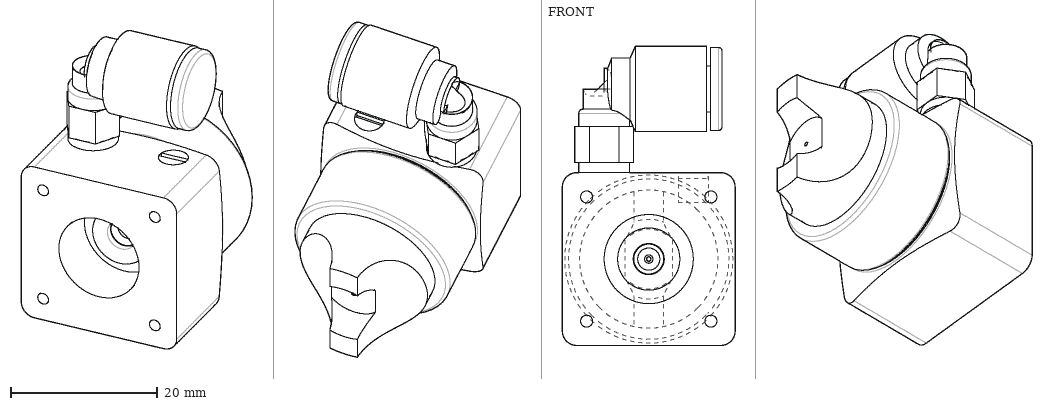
import cadquery as cq
import math


OVERALL_HEIGHT = 41.0

BLOCK_SIZE = 23.7
BLOCK_DEPTH = 14.45
BLOCK_CORNER_RADIUS = 2.0
BLOCK_TOP = BLOCK_SIZE / 2
TURNED_RIM_RADIUS = 11.5
TURNED_SLOPE = 0.28

MOUNT_SPACING = 17.0
MOUNT_DIAMETER = 1.65
MOUNT_DEPTH = 4.1
DRILL_POINT_ANGLE = 118.0

BORE_DIAMETER = 12.2
BORE_DEPTH = 8.0
SEAT_OUTER_RADIUS = 4.25
SEAT_INNER_RADIUS = 2.15
SEAT_ROUND_CENTER = 7.0
SEAT_CONE_RADIUS = 2.05
SEAT_FLOOR_RADIUS = 1.5
SEAT_FLOOR_DEPTH = 9.0
JET_MOUTH_RADIUS = 0.57
JET_MOUTH_DEPTH = 0.4
JET_RADIUS = 0.3

NECK_RADIUS = 11.0
RING_START = 14.7
RING_END = 24.7
RING_RADIUS = 11.52
RING_FILLET = 0.5

NOZZLE_RADIUS = 9.47
NOZZLE_END = 34.5
SCOOP_RADIUS = 8.0
SCOOP_CENTER_X = 10.0
SCOOP_CENTER_Y = 35.3
MOUTH_RADIUS = 5.45
MOUTH_FLOOR_RADIUS = 4.1
MOUTH_DEPTH = 3.5

PORT_OFFSET = 6.1
PORT_Y = 10.75

PLUG_RADIUS = 2.05
PLUG_LENGTH = 4.1
PLUG_SLOT_WIDTH = 0.8
PLUG_SLOT_DEPTH = 0.8

STEM_RADIUS = 3.5
HEX_ACROSS_FLATS = 2 * STEM_RADIUS
HEX_BOTTOM = 13.2
HEX_TOP = 18.15
COLLAR_TOP = 20.55
COLLAR_FILLET = 0.57
OUTLET_Z = 23.3
ELBOW_RADIUS = 2.85
CUP_RIM_RADIUS = 2.83
CUP_FLOOR_RADIUS = 1.8
CUP_DEPTH = 1.0
RIDGE_RADIUS = 1.93
RIDGE_CREST = 0.6
RIDGE_HALF_LENGTH = 2.05
SHOULDER_START = 0.5
SHOULDER_FULL = 1.02
SHOULDER_END = 3.55
SHOULDER_RADIUS = 4.25
SLEEVE_START = 4.25
SLEEVE_END = 14.02
SLEEVE_RADIUS = OVERALL_HEIGHT - BLOCK_TOP - OUTLET_Z
RELEASE_NECK_RADIUS = 3.15
RELEASE_START = 14.55
RELEASE_END = 16.15
RELEASE_RADIUS = 5.7
RELEASE_FILLET = 0.5


def cylinder_y(radius, start, end):
    """Cylinder on the bore axis between two Y positions."""
    return cq.Workplane("XZ", origin=(0, start, 0)).circle(radius).extrude(start - end)


def revolved_y(points):
    """Solid of revolution about the Y axis from (radius, y) points."""
    return cq.Workplane("XY").polyline(points).close().revolve(360, (0, 0), (0, 1))


def make_block():
    """Rounded square block whose back end is turned to a shallow cone."""
    block = cq.Workplane("XZ").rect(BLOCK_SIZE, BLOCK_SIZE).extrude(-BLOCK_DEPTH)
    block = block.edges("|Y").fillet(BLOCK_CORNER_RADIUS)
    reach = BLOCK_SIZE
    setback = (reach - TURNED_RIM_RADIUS) * TURNED_SLOPE
    turned = revolved_y([
        (0, 0),
        (reach, 0),
        (reach, BLOCK_DEPTH - setback),
        (TURNED_RIM_RADIUS, BLOCK_DEPTH),
        (0, BLOCK_DEPTH),
    ])
    return block.intersect(turned)


def make_ring():
    """Rounded ring joined to the block by a short, narrower neck."""
    ring = cylinder_y(RING_RADIUS, RING_START, RING_END).edges().fillet(RING_FILLET)
    return ring.union(cylinder_y(NECK_RADIUS, BLOCK_DEPTH, RING_END))


def make_nozzle():
    """Round nozzle scooped on both sides into two horns, with a conical mouth in its end."""
    nozzle = cylinder_y(NOZZLE_RADIUS, RING_END, NOZZLE_END)
    scoops = (
        cq.Workplane("XY", origin=(0, SCOOP_CENTER_Y, 0))
        .pushPoints([(-SCOOP_CENTER_X, 0), (SCOOP_CENTER_X, 0)])
        .circle(SCOOP_RADIUS)
        .extrude(NOZZLE_RADIUS, both=True)
    )
    mouth = revolved_y([
        (0, NOZZLE_END),
        (MOUTH_RADIUS, NOZZLE_END),
        (MOUTH_FLOOR_RADIUS, NOZZLE_END - MOUTH_DEPTH),
        (0, NOZZLE_END - MOUTH_DEPTH),
    ])
    return nozzle.cut(scoops).cut(mouth)


def make_mount_holes():
    """Four blind drilled holes with conical ends."""
    radius = MOUNT_DIAMETER / 2
    point_length = radius / math.tan(math.radians(DRILL_POINT_ANGLE / 2))
    drill = revolved_y([(0, 0), (radius, 0), (radius, MOUNT_DEPTH), (0, MOUNT_DEPTH + point_length)])
    half = MOUNT_SPACING / 2
    holes = cq.Workplane("XY")
    for x in (-half, half):
        for z in (-half, half):
            holes = holes.add(drill.translate((x, 0, z)))
    return holes.combine()


def make_seat():
    """Ring on the bore floor with a half-round front edge."""
    round_radius = (SEAT_OUTER_RADIUS - SEAT_INNER_RADIUS) / 2
    return (
        cq.Workplane("XY")
        .moveTo(SEAT_INNER_RADIUS, BORE_DEPTH)
        .lineTo(SEAT_INNER_RADIUS, SEAT_ROUND_CENTER)
        .threePointArc(
            (SEAT_INNER_RADIUS + round_radius, SEAT_ROUND_CENTER - round_radius),
            (SEAT_OUTER_RADIUS, SEAT_ROUND_CENTER),
        )
        .lineTo(SEAT_OUTER_RADIUS, BORE_DEPTH)
        .close()
        .revolve(360, (0, 0), (0, 1))
    )


def make_jet():
    """Conical recess inside the seat and the stepped passage through to the nozzle mouth."""
    return revolved_y([
        (0, BORE_DEPTH),
        (SEAT_CONE_RADIUS, BORE_DEPTH),
        (SEAT_FLOOR_RADIUS, SEAT_FLOOR_DEPTH),
        (JET_MOUTH_RADIUS, SEAT_FLOOR_DEPTH),
        (JET_MOUTH_RADIUS, SEAT_FLOOR_DEPTH + JET_MOUTH_DEPTH),
        (JET_RADIUS, SEAT_FLOOR_DEPTH + JET_MOUTH_DEPTH),
        (JET_RADIUS, NOZZLE_END),
        (0, NOZZLE_END),
    ])


def make_plug_blank():
    """Plain plug cylinder, also the shape of the hole it fills."""
    return (
        cq.Workplane("XY", origin=(PORT_OFFSET, PORT_Y, BLOCK_TOP))
        .circle(PLUG_RADIUS)
        .extrude(-PLUG_LENGTH)
    )


def make_plug():
    """Headless plug with a screwdriver slot across its outer end."""
    slot = (
        cq.Workplane("XY", origin=(PORT_OFFSET, PORT_Y, BLOCK_TOP))
        .rect(2 * PLUG_RADIUS, PLUG_SLOT_WIDTH)
        .extrude(-PLUG_SLOT_DEPTH)
    )
    return make_plug_blank().cut(slot)


def make_stem():
    """Stem with its hexagon and rounded collar."""
    stem = (
        cq.Workplane("XY", origin=(0, 0, BLOCK_TOP))
        .circle(STEM_RADIUS)
        .extrude(COLLAR_TOP - BLOCK_TOP)
        .faces(">Z").edges().fillet(COLLAR_FILLET)
    )
    hexagon = (
        cq.Workplane("XY", origin=(0, 0, HEX_BOTTOM))
        .polygon(6, HEX_ACROSS_FLATS, circumscribed=True)
        .extrude(HEX_TOP - HEX_BOTTOM)
        .rotate((0, 0, 0), (0, 0, 1), 30)
    )
    return stem.union(hexagon)


def make_outlet():
    """Stepped push-in outlet along X, revolved from (x, radius) points."""
    return (
        cq.Workplane("XZ")
        .polyline([
            (0, 0),
            (0, ELBOW_RADIUS),
            (SHOULDER_START, ELBOW_RADIUS),
            (SHOULDER_FULL, SHOULDER_RADIUS),
            (SHOULDER_END, SHOULDER_RADIUS),
            (SLEEVE_START, SLEEVE_RADIUS),
            (SLEEVE_END, SLEEVE_RADIUS),
            (SLEEVE_END, RELEASE_NECK_RADIUS),
            (RELEASE_START, RELEASE_NECK_RADIUS),
            (RELEASE_START, RELEASE_RADIUS),
            (RELEASE_END, RELEASE_RADIUS),
            (RELEASE_END, 0),
        ])
        .close()
        .revolve(360, (0, 0), (1, 0))
        .faces(">X").edges().fillet(RELEASE_FILLET)
    )


def make_cup():
    """Bowl open towards +Z with a concave wall, its rim centred on the origin."""
    wall_width = CUP_RIM_RADIUS - CUP_FLOOR_RADIUS
    on_diagonal = math.sqrt(0.5)
    return (
        cq.Workplane("XZ")
        .lineTo(CUP_RIM_RADIUS, 0)
        .threePointArc(
            (CUP_FLOOR_RADIUS + wall_width * on_diagonal, -CUP_DEPTH * on_diagonal),
            (CUP_FLOOR_RADIUS, -CUP_DEPTH),
        )
        .lineTo(0, -CUP_DEPTH)
        .close()
        .revolve(360, (0, 0), (0, 1))
    )


def make_corner_cups():
    """Half bowls hollowing the two pipe ends that meet at the elbow corner."""
    span = 4 * ELBOW_RADIUS
    left_half = cq.Workplane("XY").box(span, span, span).translate((-span / 2, 0, 0))
    upper_half = cq.Workplane("XY").box(span, span, span).translate((0, 0, span / 2))
    stem_cup = make_cup().intersect(left_half)
    outlet_cup = make_cup().rotate((0, 0, 0), (0, 1, 0), -90).intersect(upper_half)
    return stem_cup.union(outlet_cup)


def make_ridge():
    """Cylinder at 45 degrees across the elbow corner, rising out of both cups."""
    return (
        cq.Workplane("XY", origin=(RIDGE_RADIUS - RIDGE_CREST, 0, 0))
        .circle(RIDGE_RADIUS)
        .extrude(RIDGE_HALF_LENGTH, both=True)
        .rotate((0, 0, 0), (0, 1, 0), 45)
    )


def make_fitting():
    """Complete elbow fitting in its place on the block."""
    riser = cq.Workplane("XY").circle(ELBOW_RADIUS).extrude(COLLAR_TOP - OUTLET_Z)
    elbow = riser.union(make_outlet()).cut(make_corner_cups()).union(make_ridge())
    fitting = make_stem().union(elbow.translate((0, 0, OUTLET_Z)))
    return fitting.translate((-PORT_OFFSET, PORT_Y, 0))


def make_housing():
    """Block, ring, nozzle and elbow fitting in one piece."""
    housing = make_block().union(make_ring()).union(make_nozzle())
    housing = housing.cut(make_mount_holes())
    housing = housing.cut(cylinder_y(BORE_DIAMETER / 2, 0, BORE_DEPTH))
    housing = housing.union(make_seat()).cut(make_jet())
    housing = housing.cut(make_plug_blank())
    return housing.union(make_fitting())


housing = make_housing()
plug = make_plug()
result = cq.Compound.makeCompound([housing.val(), plug.val()])